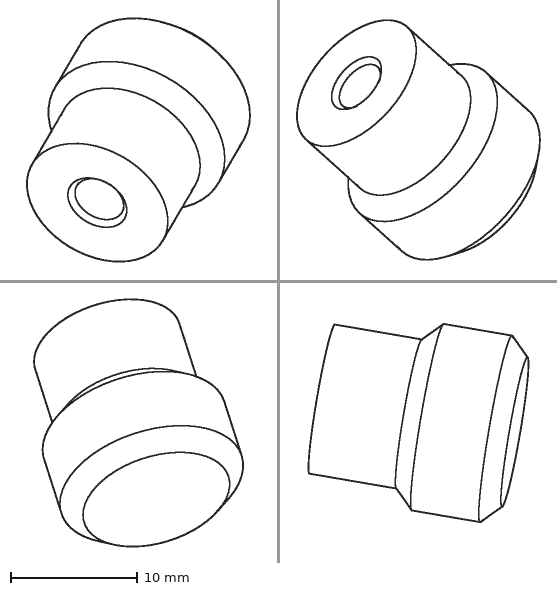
import cadquery as cq
import math

total_length = 15.5
head_diameter = 15.0
shank_diameter = 12.0
shank_length = 7.0
head_bevel = (head_diameter - shank_diameter) / 2

hole_diameter = 4.14
hole_depth = 10.0
mouth_diameter = 5.0
drill_point_angle = 118.0

head_radius = head_diameter / 2
shank_radius = shank_diameter / 2
hole_radius = hole_diameter / 2
mouth_radius = mouth_diameter / 2
mouth_depth = mouth_radius - hole_radius
point_depth = hole_radius / math.tan(math.radians(drill_point_angle / 2))


def revolve_about_y(profile):
    """Turn a closed (radius, Y) profile into a solid of revolution about Y."""
    return cq.Workplane("XY").polyline(profile).close().revolve(360, (0, 0, 0), (0, 1, 0))


def make_body():
    return revolve_about_y([
        (0, 0),
        (shank_radius, 0),
        (shank_radius, shank_length),
        (head_radius, shank_length + head_bevel),
        (head_radius, total_length - head_bevel),
        (head_radius - head_bevel, total_length),
        (0, total_length),
    ])


def make_hole():
    return revolve_about_y([
        (0, 0),
        (mouth_radius, 0),
        (hole_radius, mouth_depth),
        (hole_radius, hole_depth),
        (0, hole_depth + point_depth),
    ])


result = make_body().cut(make_hole())